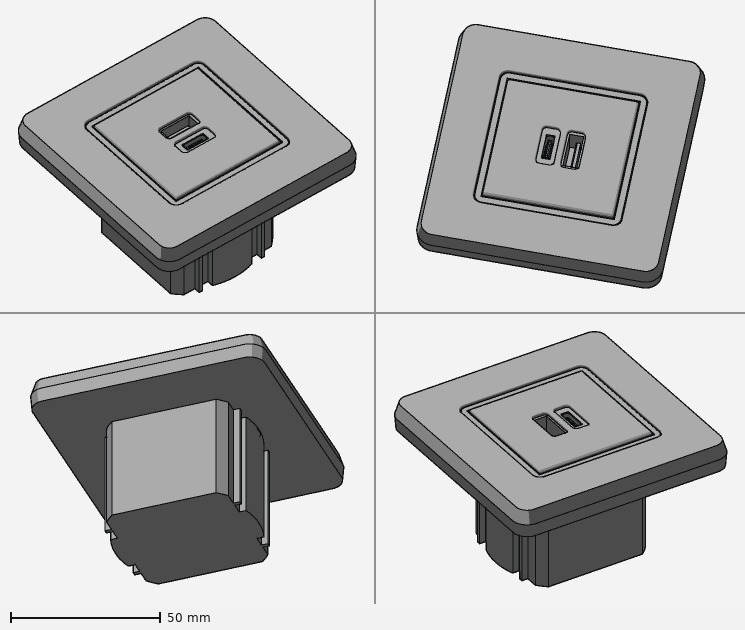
import cadquery as cq
import math


PLATE_SIZE = 84.0
PLATE_CORNER_RADIUS = 5.9
PLATE_LOWER_HEIGHT = 5.0
PLATE_UPPER_HEIGHT = 4.9
PLATE_LOWER_INSET = 0.4
PLATE_UPPER_INSET = 1.5
PLATE_TOP = PLATE_LOWER_HEIGHT + PLATE_UPPER_HEIGHT

WINDOW_SIZE = 50.6
WINDOW_CORNER_RADIUS = 3.0
WINDOW_DEPTH = 0.6
WINDOW_EDGE_RADIUS = 0.3
WINDOW_GROOVE_WIDTH = 0.3
WINDOW_GROOVE_DEPTH = 0.4
WINDOW_FLOOR = PLATE_TOP - WINDOW_DEPTH
COVER_SIZE = 44.85
COVER_RISE = 0.25
COVER_TOP = PLATE_TOP + COVER_RISE
COVER_RADIUS_X_SIDES = 0.7
COVER_RADIUS_Y_SIDES = 1.0
COVER_GAP = 0.3
COVER_GAP_DEPTH = 0.25
COVER_BASE = WINDOW_FLOOR - COVER_GAP_DEPTH

BODY_HEIGHT = 38.0
BODY_SIZE = 43.7
BODY_CORNER_CIRCLE = 28.7
SIDE_STEP = 2.35
BARREL_RADIUS = 25.7
BARREL_WIDTH = 16.8
BARREL_FLAT_WIDTH = 3.7
RIB_WIDTH = 1.4
RIB_OFFSET = 13.3

NUB_DROP = 0.6
NUB_HEIGHT = 3.6
NUB_REACH = 0.3
NUB_RADIUS = 3.95

PORT_OFFSET = 4.3
PORT_WIDTH = 6.2
PORT_LENGTH = 14.1
PORT_CORNER_RADIUS = 1.5
PORT_DEPTH = 1.0
PORT_EDGE_RADIUS = 0.3
PORT_FLOOR = COVER_TOP - PORT_DEPTH

USB_A_WIDTH = 4.8
USB_A_LENGTH = 12.0
USB_A_DEPTH = 9.2
USB_A_TONGUE_WIDTH = 1.5
USB_A_TONGUE_LENGTH = 10.1
USB_A_TONGUE_SHIFT = 0.75
USB_A_TONGUE_DROP = 3.4
USB_A_TONGUE_CHAMFER = 0.4

USB_C_WIDTH = 2.9
USB_C_LENGTH = 8.9
USB_C_STEP_DEPTH = 0.3
USB_C_SLOT_WIDTH = 2.85
USB_C_SLOT_LENGTH = 8.7
USB_C_DEPTH = 5.9
USB_C_TONGUE_WIDTH = 1.35
USB_C_TONGUE_LENGTH = 6.55
USB_C_TONGUE_DROP = 1.0
USB_C_TONGUE_CHAMFER = 0.4


def block(width, length, bottom, top, x=0.0, y=0.0):
    """Box centred on (x, y), spanning bottom to top in Z."""
    return (
        cq.Workplane("XY", origin=(x, y, bottom))
        .rect(width, length)
        .extrude(top - bottom)
    )


def cut_pocket(solid, width, length, corner_radius, floor, rim, edge_radius, x=0.0):
    """Cut a pocket with rounded corners into the solid and round over its rim."""
    pocket = block(width, length, floor, rim, x).edges("|Z").fillet(corner_radius)
    margin = edge_radius / 2
    rim_zone = cq.selectors.BoxSelector(
        (x - width / 2 - margin, -length / 2 - margin, rim - margin),
        (x + width / 2 + margin, length / 2 + margin, rim + margin),
        boundingbox=True,
    )
    return solid.cut(pocket).edges(rim_zone).fillet(edge_radius)


def plate_half(height, inset):
    """One drafted half of the plate, growing from its widest section."""
    draft = math.degrees(math.atan2(inset, abs(height)))
    outline = cq.Sketch().rect(PLATE_SIZE, PLATE_SIZE).vertices().fillet(PLATE_CORNER_RADIUS)
    return (
        cq.Workplane("XY", origin=(0, 0, PLATE_LOWER_HEIGHT))
        .placeSketch(outline)
        .extrude(height, taper=draft)
    )


def make_plate():
    """Drafted plate with its sunken window, the groove along the window wall and the cover opening."""
    upper = plate_half(PLATE_UPPER_HEIGHT, PLATE_UPPER_INSET)
    lower = plate_half(-PLATE_LOWER_HEIGHT, PLATE_LOWER_INSET)
    plate = cut_pocket(
        upper.union(lower),
        WINDOW_SIZE,
        WINDOW_SIZE,
        WINDOW_CORNER_RADIUS,
        WINDOW_FLOOR,
        PLATE_TOP,
        WINDOW_EDGE_RADIUS,
    )
    groove = (
        block(WINDOW_SIZE, WINDOW_SIZE, WINDOW_FLOOR - WINDOW_GROOVE_DEPTH, WINDOW_FLOOR)
        .edges("|Z")
        .fillet(WINDOW_CORNER_RADIUS)
        .faces("<Z or >Z")
        .shell(-WINDOW_GROOVE_WIDTH)
    )
    plate = plate.cut(groove)
    opening = COVER_SIZE + 2 * COVER_GAP
    return plate.cut(block(opening, opening, COVER_BASE, WINDOW_FLOOR))


def make_cover():
    """Raised cover, rounded more along its front and back than along its sides."""
    cover = block(COVER_SIZE, COVER_SIZE, COVER_BASE, COVER_TOP)
    cover = cover.faces(">Z").edges("|X").fillet(COVER_RADIUS_Y_SIDES)
    cover = cover.faces("<X or >X").edges(">Z").fillet(COVER_RADIUS_X_SIDES)
    for x in (-PORT_OFFSET, PORT_OFFSET):
        cover = cut_pocket(
            cover,
            PORT_WIDTH,
            PORT_LENGTH,
            PORT_CORNER_RADIUS,
            PORT_FLOOR,
            COVER_TOP,
            PORT_EDGE_RADIUS,
            x,
        )
    return cover


def shaft(radius):
    """Cylinder on the part's axis, as long as the insert body."""
    return cq.Workplane("XY", origin=(0, 0, -BODY_HEIGHT)).circle(radius).extrude(BODY_HEIGHT)


def make_body():
    """Insert body: a block with its corners turned off, plus side barrels, ribs and nubs."""
    core = shaft(BODY_CORNER_CIRCLE).intersect(block(BODY_SIZE, BODY_SIZE, -BODY_HEIGHT, 0))

    flat_distance = math.sqrt(BARREL_RADIUS**2 - (BARREL_FLAT_WIDTH / 2) ** 2)
    barrel = shaft(BARREL_RADIUS).intersect(
        block(2 * flat_distance, BARREL_WIDTH, -BODY_HEIGHT, 0)
    )
    body = core.union(barrel)

    rib_span = BODY_SIZE + 2 * SIDE_STEP
    for y in (-RIB_OFFSET, RIB_OFFSET):
        body = body.union(block(rib_span, RIB_WIDTH, -BODY_HEIGHT, 0, y=y))

    nub_axis = flat_distance + NUB_REACH - NUB_RADIUS
    for side in (-1, 1):
        nub = cq.Solid.makeCone(
            NUB_RADIUS - NUB_REACH,
            NUB_RADIUS,
            NUB_HEIGHT,
            cq.Vector(side * nub_axis, 0, -NUB_DROP - NUB_HEIGHT),
        )
        body = body.union(cq.Workplane(nub))
    return body


def make_usb_a_cavity():
    """Empty space of the USB-A socket: its opening minus the contact tongue."""
    bottom = PORT_FLOOR - USB_A_DEPTH
    opening = block(USB_A_WIDTH, USB_A_LENGTH, bottom, PORT_FLOOR, -PORT_OFFSET)
    tongue = block(
        USB_A_TONGUE_WIDTH,
        USB_A_TONGUE_LENGTH,
        bottom,
        PORT_FLOOR - USB_A_TONGUE_DROP,
        -PORT_OFFSET - USB_A_TONGUE_SHIFT,
    )
    tongue = tongue.faces(">X").edges(">Z").chamfer(USB_A_TONGUE_CHAMFER)
    return opening.cut(tongue)


def make_usb_c_cavity():
    """Empty space of the USB-C socket: a shallow step, a round-ended slot and its tongue."""
    bottom = PORT_FLOOR - USB_C_DEPTH
    step = block(USB_C_WIDTH, USB_C_LENGTH, PORT_FLOOR - USB_C_STEP_DEPTH, PORT_FLOOR, PORT_OFFSET)
    slot = (
        cq.Workplane("XY", origin=(PORT_OFFSET, 0, bottom))
        .slot2D(USB_C_SLOT_LENGTH, USB_C_SLOT_WIDTH, 90)
        .extrude(USB_C_DEPTH)
    )
    tongue = block(
        USB_C_TONGUE_WIDTH,
        USB_C_TONGUE_LENGTH,
        bottom,
        PORT_FLOOR - USB_C_TONGUE_DROP,
        PORT_OFFSET,
    )
    tongue = tongue.faces(">Z").chamfer(USB_C_TONGUE_CHAMFER)
    return step.union(slot).cut(tongue)


result = (
    make_plate()
    .union(make_cover())
    .union(make_body())
    .cut(make_usb_a_cavity())
    .cut(make_usb_c_cavity())
)